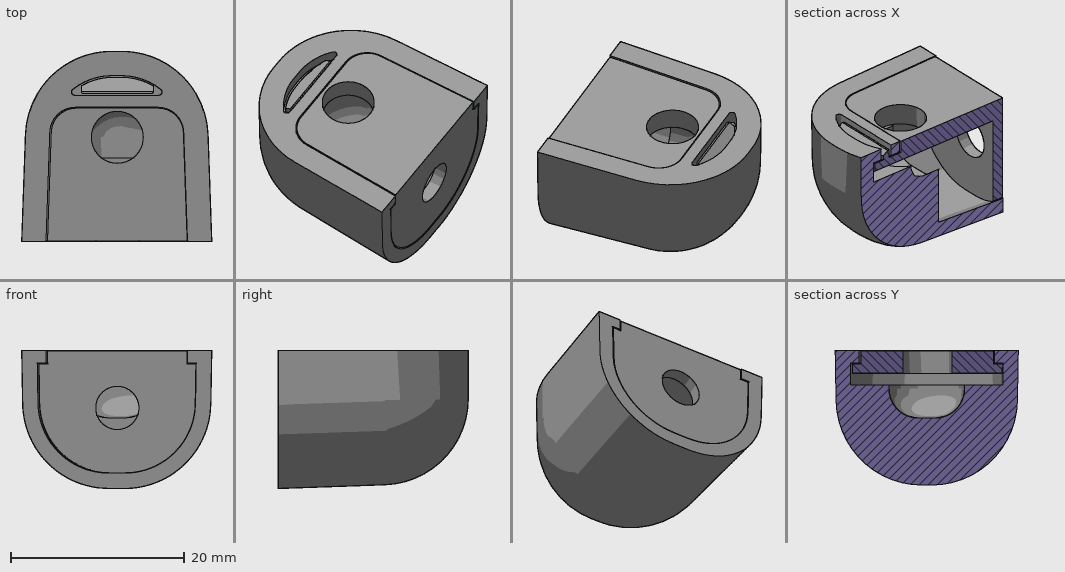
import cadquery as cq
import math

WIDTH = 22.0
LENGTH = 22.0
HEIGHT = 16.0
CORNER_RADIUS = 9.99
TAPER = math.tan(math.radians(2.0))
SIDE_DRAFT = math.tan(math.radians(1.0))
CUT_MARGIN = 0.22

WALL = 1.78
LIP_DEPTH = 1.5
LIP_INSET = 2.82
OPENING_LENGTH = 15.53
OPENING_RADIUS = 3.0
SLOT_LENGTH = 2.27
SLOT_END_RADIUS = 0.37

STEP_START = 9.65
STEP_DEPTH = 4.0
BOWL_DEPTH = 7.8
BOWL_DIAMETER = 8.7
BOWL_FLOOR_DIAMETER = 2.0
HOLE_Y = 12.05

CLEARANCE = 0.1
LID_SHIFT = 0.07
LID_RECESS = 0.09
LID_PLATE_BOTTOM = 2.6
LID_FRONT_WALL = 1.5
TOP_HOLE_DIAMETER = 6.0
FRONT_HOLE_DIAMETER = 5.0
FRONT_HOLE_DEPTH = 6.6

CATCH_WIDTH = 8.32
CATCH_GAP = 0.2
CATCH_RISE = 1.0
CATCH_CREST = 0.22
CATCH_CORNER_RADIUS = 0.22


def half_width(inset, y):
    """Half width of the top outline at distance y from the front."""
    return WIDTH / 2 - inset - y * TAPER


def section(inset, y):
    """Drafted four-sided cross-section at distance y from the front."""
    bottom = HEIGHT - inset - y * TAPER
    top_half = half_width(inset, y)
    bottom_half = top_half - bottom * SIDE_DRAFT
    points = [(-top_half, 0), (top_half, 0), (bottom_half, -bottom), (-bottom_half, -bottom)]
    return cq.Wire.makePolygon([cq.Vector(x, y, z) for x, z in points], close=True)


def rounded_block(inset):
    """Envelope moved inward by inset, with its sides, floor and rear rounded together."""
    front = section(inset, 0)
    rear = section(inset, LENGTH - inset)
    block = cq.Workplane(cq.Solid.makeLoft([front, rear], True))
    rounded = block.edges("not(<Y or >Z)")
    return rounded.fillet(CORNER_RADIUS - inset)


def slab(top_depth, bottom_depth, start=-LENGTH, end=2 * LENGTH):
    """Wide block between two depths below the top face and two places along Y."""
    return (
        cq.Workplane("XY", origin=(0, 0, -bottom_depth))
        .rect(2 * WIDTH, end - start)
        .extrude(bottom_depth - top_depth)
        .translate((0, (start + end) / 2, 0))
    )


def tongue(gap, depth):
    """Tapered round-cornered prism filling the main opening, less a gap all round."""
    inset = LIP_INSET + gap
    end = OPENING_LENGTH - gap
    front_half = half_width(inset, 0)
    rear_half = half_width(inset, end)
    return (
        cq.Workplane("XY")
        .polyline([(-front_half, 0), (front_half, 0), (rear_half, end), (-rear_half, end)])
        .close()
        .extrude(-depth)
        .edges("|Z and >Y")
        .fillet(OPENING_RADIUS - gap)
    )


def catch_slot():
    """Slot through the top: straight in front, parallel to the rounded housing end behind."""
    front = LENGTH - LIP_INSET - SLOT_LENGTH
    return (
        rounded_block(LIP_INSET)
        .intersect(slab(0, LIP_DEPTH, start=front))
        .edges("<X or >X")
        .fillet(SLOT_END_RADIUS)
    )


def bowl():
    """Trough open to the front, with a half-round rear end and a rounded floor edge."""
    radius = BOWL_DIAMETER / 2
    return (
        cq.Workplane("XY", origin=(0, 0, -BOWL_DEPTH))
        .moveTo(-radius, STEP_START)
        .lineTo(-radius, HOLE_Y)
        .threePointArc((0, HOLE_Y + radius), (radius, HOLE_Y))
        .lineTo(radius, STEP_START)
        .close()
        .extrude(BOWL_DEPTH - STEP_DEPTH)
        .faces("<Z")
        .edges("not <Y")
        .fillet(radius - BOWL_FLOOR_DIAMETER / 2)
    )


def make_housing():
    step = slab(STEP_DEPTH, HEIGHT, start=STEP_START).cut(bowl())
    cavity = rounded_block(WALL).cut(slab(-CUT_MARGIN, LIP_DEPTH)).cut(step)
    return (
        rounded_block(0)
        .cut(cavity)
        .cut(tongue(0, LIP_DEPTH))
        .cut(catch_slot())
    )


def make_catch():
    """Wedge falling from a narrow crest in front to the lid surface at the rear."""
    front = LENGTH - LIP_INSET - SLOT_LENGTH + CATCH_GAP
    rear = LENGTH - LIP_INSET - CATCH_GAP
    profile = [
        (front, -LIP_DEPTH),
        (rear, -LIP_DEPTH),
        (front + CATCH_CREST, CATCH_RISE - LIP_DEPTH),
        (front, CATCH_RISE - LIP_DEPTH),
    ]
    return (
        cq.Workplane("YZ", origin=(-CATCH_WIDTH / 2, 0, 0))
        .polyline(profile)
        .close()
        .extrude(CATCH_WIDTH)
        .edges("|Z and <Y")
        .fillet(CATCH_CORNER_RADIUS)
        .intersect(rounded_block(LIP_INSET + CATCH_GAP))
    )


def make_lid():
    """Top plate with a raised tongue, a front wall and a catch."""
    body = rounded_block(WALL + CLEARANCE)
    plate = body.intersect(slab(LIP_DEPTH, LID_PLATE_BOTTOM))
    front_wall = body.intersect(slab(LIP_DEPTH, HEIGHT, end=LID_RECESS + LID_FRONT_WALL))
    lid = (
        plate.union(front_wall)
        .union(tongue(CLEARANCE, LID_PLATE_BOTTOM))
        .union(make_catch())
        .cut(slab(-CUT_MARGIN, HEIGHT, end=LID_RECESS))
    )
    top_hole = (
        cq.Workplane("XY")
        .center(0, HOLE_Y)
        .circle(TOP_HOLE_DIAMETER / 2)
        .extrude(-LID_PLATE_BOTTOM)
    )
    front_hole = (
        cq.Workplane("XZ")
        .center(0, -FRONT_HOLE_DEPTH)
        .circle(FRONT_HOLE_DIAMETER / 2)
        .extrude(-LID_RECESS - LID_FRONT_WALL)
    )
    return lid.cut(top_hole).cut(front_hole).translate((LID_SHIFT, 0, -LID_SHIFT))


housing = make_housing()
lid = make_lid()

result = cq.Compound.makeCompound([housing.solids().val(), lid.solids().val()])